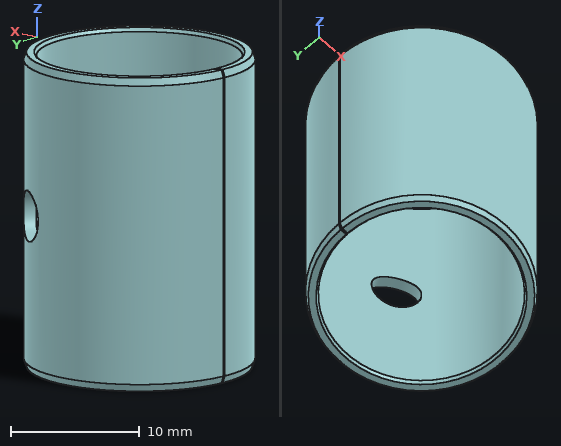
import cadquery as cq
import math

outer_diameter = 18.0
wall = 1.0
length = 25.0

outer_chamfer_length = 0.6
outer_chamfer_angle = 20.0
inner_chamfer_length = 0.3
inner_chamfer_angle = 30.0

joint_start_angle = 180.0
joint_gap_angle = 1.0

oil_hole_diameter = 4.0
oil_hole_from_joint = 120.0

outer_radius = outer_diameter / 2
inner_radius = outer_radius - wall
half_length = length / 2
oil_hole_angle = joint_start_angle - joint_gap_angle - oil_hole_from_joint
outer_chamfer_depth = outer_chamfer_length * math.tan(math.radians(outer_chamfer_angle))
inner_chamfer_depth = inner_chamfer_length * math.tan(math.radians(inner_chamfer_angle))


def make_sleeve():
    """Revolve the chamfered wall section from -X almost a full turn, leaving the joint gap open."""
    shoulder = half_length - outer_chamfer_length
    inner_edge = half_length - inner_chamfer_length
    face_outer = outer_radius - outer_chamfer_depth
    face_inner = inner_radius + inner_chamfer_depth
    section = (
        cq.Workplane("XZ")
        .moveTo(-inner_radius, -inner_edge)
        .lineTo(-face_inner, -half_length)
        .lineTo(-face_outer, -half_length)
        .lineTo(-outer_radius, -shoulder)
        .lineTo(-outer_radius, shoulder)
        .lineTo(-face_outer, half_length)
        .lineTo(-face_inner, half_length)
        .lineTo(-inner_radius, inner_edge)
        .close()
    )
    return section.revolve(360 - joint_gap_angle, (0, 0, 0), (0, 1, 0))


def make_oil_hole_cutter():
    """Radial cylinder reaching from the axis out through one wall."""
    cylinder = cq.Workplane("YZ").circle(oil_hole_diameter / 2).extrude(outer_diameter)
    return cylinder.rotate((0, 0, 0), (0, 0, 1), oil_hole_angle)


result = make_sleeve().cut(make_oil_hole_cutter())